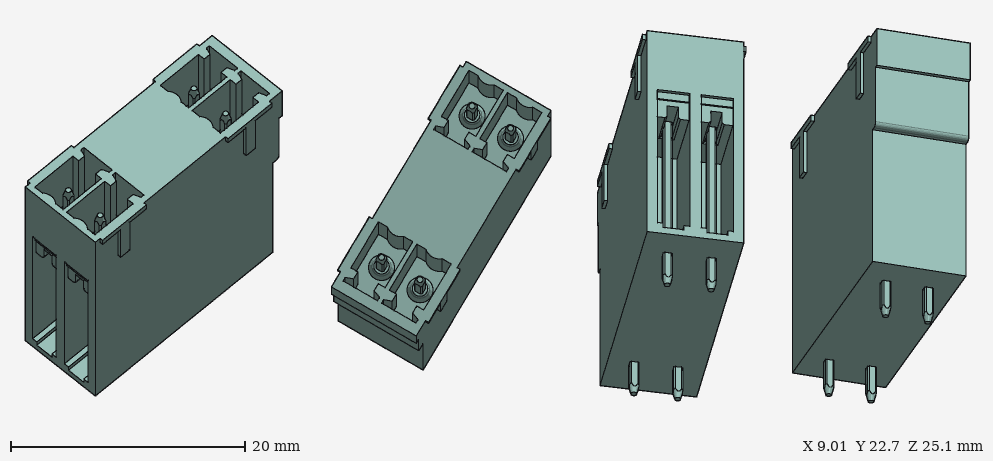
import cadquery as cq

contact_pitch = 3.81
row_pitch = 15.24
first_row_y = 2.92
contact_xs = [-contact_pitch / 2, contact_pitch / 2]
row_ys = [first_row_y, first_row_y + row_pitch]

housing_width = 8.41
housing_height = 21.9
housing_depth = 22.7
back_step_y = 22.32
back_step_z = 18.35
back_foot_y = 21.55
back_foot_z = 12.7
back_corner_radius = 0.4

key_thickness = 0.3
key_bar_length = 5.33
key_bar_height = 0.57
key_bar_center = 0.32
key_stem_length = 1.1
key_stem_height = 4.5
key_stem_center = 0.41

pocket_width = 3.4
pocket_depth = 6.0
pocket_floor_z = housing_height - pocket_depth
pocket_front = -2.36
pocket_back = 3.58
rib_depth = 0.69
rib_front = pocket_back - 1.31
rib_back = pocket_back - 0.35
rib_slope = 0.25
bump_width = 1.6
bump_height = 0.3

collar_base_radius = 1.11
collar_mid_radius = 0.81
collar_top_radius = 0.66
collar_cone_height = 0.5
collar_crown_height = 0.15

slot_width = 2.82
slot_bottom_z = 1.12
slot_ceiling_z = 12.98
slot_depth = 2 * first_row_y
groove_width = 1.82
groove_bottom_z = 0.67
shallow_recess_top_z = 15.6
shallow_recess_depth = 0.28
deep_recess_top_z = 14.85
deep_recess_depth = 0.42
relief_width = 0.98
relief_top_z = 14.28
relief_chamfer = 0.18

pin_size = 0.8
pin_edge_chamfer = 0.13
pin_tip_radius = 0.25
pin_cone_radius = 0.6
pin_cone_height = 1.3
pin_bottom_z = -3.2
pin_top_z = 20.83


def box(x_range, y_range, z_range):
    """Axis-aligned block given by its limits."""
    (x0, x1), (y0, y1), (z0, z1) = x_range, y_range, z_range
    return cq.Workplane("XY").box(x1 - x0, y1 - y0, z1 - z0, centered=False).translate((x0, y0, z0))


def centered_range(center, length):
    return (center - length / 2, center + length / 2)


def housing_body():
    """Side profile with a stepped back, extruded across the width."""
    side_profile = (
        cq.Workplane("YZ")
        .moveTo(0, 0)
        .lineTo(back_foot_y, 0)
        .lineTo(back_foot_y, back_foot_z)
        .lineTo(back_step_y - back_corner_radius, back_foot_z)
        .radiusArc((back_step_y, back_foot_z + back_corner_radius), -back_corner_radius)
        .lineTo(back_step_y, back_step_z)
        .lineTo(housing_depth, back_step_z)
        .lineTo(housing_depth, housing_height)
        .lineTo(0, housing_height)
        .close()
    )
    return side_profile.extrude(housing_width / 2, both=True)


def key(row_y):
    """T-shaped key plate running through the housing and proud of both sides."""
    x_range = centered_range(0, housing_width + 2 * key_thickness)
    bar = box(
        x_range,
        centered_range(row_y + key_bar_center, key_bar_length),
        (housing_height - key_bar_height, housing_height),
    )
    stem = box(
        x_range,
        centered_range(row_y + key_stem_center, key_stem_length),
        (housing_height - key_stem_height, housing_height),
    )
    return bar.union(stem)


def pocket(x, row_y):
    """Plug pocket with two coding ribs and a rounded bump left standing, and the pin collar."""
    half_width = pocket_width / 2
    half_neck = half_width - rib_depth
    half_bump = bump_width / 2
    outline = (
        cq.Workplane("XY", origin=(x, row_y, pocket_floor_z))
        .moveTo(-half_width, pocket_front)
        .lineTo(-half_bump, pocket_front)
        .threePointArc((0, pocket_front + bump_height), (half_bump, pocket_front))
        .lineTo(half_width, pocket_front)
        .lineTo(half_width, rib_front)
        .lineTo(half_neck, rib_front)
        .lineTo(half_neck, rib_back - rib_slope)
        .lineTo(half_width, rib_back)
        .lineTo(half_width, pocket_back)
        .lineTo(-half_width, pocket_back)
        .lineTo(-half_width, rib_back)
        .lineTo(-half_neck, rib_back - rib_slope)
        .lineTo(-half_neck, rib_front)
        .lineTo(-half_width, rib_front)
        .close()
    )
    return outline.extrude(pocket_depth).cut(collar(x, row_y))


def collar(x, row_y):
    """Steep cone topped by a shallower one and a flat face."""
    profile = (
        cq.Workplane("XZ")
        .moveTo(0, 0)
        .lineTo(collar_base_radius, 0)
        .lineTo(collar_mid_radius, collar_cone_height)
        .lineTo(collar_top_radius, collar_cone_height + collar_crown_height)
        .lineTo(0, collar_cone_height + collar_crown_height)
        .close()
    )
    return profile.revolve(360, (0, 0, 0), (0, 1, 0)).translate((x, row_y, pocket_floor_z))


def slot(x):
    """Front slot with a floor groove, a stepped recess above it and a relief around the pin."""
    x_range = centered_range(x, slot_width)
    main = box(x_range, (0, slot_depth), (slot_bottom_z, slot_ceiling_z))
    groove = box(centered_range(x, groove_width), (0, slot_depth), (groove_bottom_z, slot_bottom_z))
    shallow_recess = box(x_range, (0, shallow_recess_depth), (slot_ceiling_z, shallow_recess_top_z))
    deep_recess = box(x_range, (0, deep_recess_depth), (slot_ceiling_z, deep_recess_top_z))
    half_relief = relief_width / 2
    half_mouth = half_relief + relief_chamfer
    relief = (
        cq.Workplane("XZ", origin=(x, 0, slot_ceiling_z))
        .moveTo(-half_mouth, 0)
        .lineTo(half_mouth, 0)
        .lineTo(half_relief, relief_chamfer)
        .lineTo(half_relief, relief_top_z - slot_ceiling_z)
        .lineTo(-half_relief, relief_top_z - slot_ceiling_z)
        .lineTo(-half_relief, relief_chamfer)
        .close()
        .extrude(-(first_row_y + pin_size / 2))
    )
    return main.union(groove).union(shallow_recess).union(deep_recess).union(relief)


def pin(x, row_y):
    """Square pin with chamfered edges, sharpened to a blunt cone at both ends."""
    length = pin_top_z - pin_bottom_z
    bar = cq.Workplane("XY").rect(pin_size, pin_size).extrude(length)
    bar = bar.edges("|Z").chamfer(pin_edge_chamfer)
    sharpened = (
        cq.Workplane("XZ")
        .moveTo(0, 0)
        .lineTo(pin_tip_radius, 0)
        .lineTo(pin_cone_radius, pin_cone_height)
        .lineTo(pin_cone_radius, length - pin_cone_height)
        .lineTo(pin_tip_radius, length)
        .lineTo(0, length)
        .close()
        .revolve(360, (0, 0, 0), (0, 1, 0))
    )
    return bar.intersect(sharpened).translate((x, row_y, pin_bottom_z))


pins = [pin(x, row_y) for row_y in row_ys for x in contact_xs]

housing = housing_body()
for row_y in row_ys:
    housing = housing.union(key(row_y))
    for x in contact_xs:
        housing = housing.cut(pocket(x, row_y))
for x in contact_xs:
    housing = housing.cut(slot(x))
for contact in pins:
    housing = housing.cut(contact)

result = cq.Compound.makeCompound([housing.val(), *[contact.val() for contact in pins]])